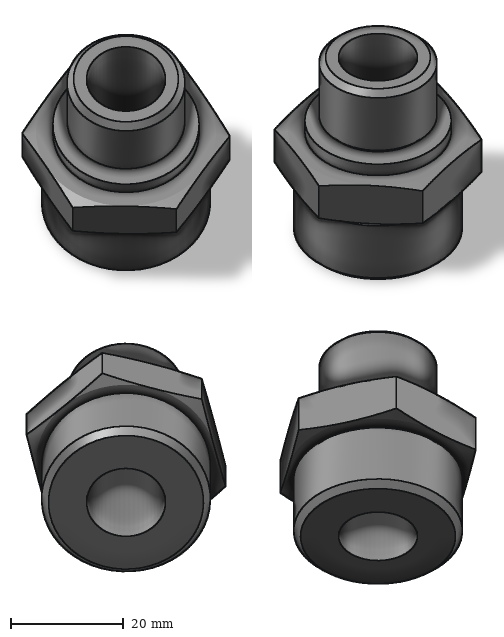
import cadquery as cq
import math

BORE_DIAMETER = 14.0

LOWER_DIAMETER = 30.0
LOWER_LENGTH = 14.0

HEX_ACROSS_FLATS = 32.0
HEX_HEIGHT = 8.48
HEX_CHAMFER_ANGLE = 15.0

COLLAR_DIAMETER = 26.0
COLLAR_HEIGHT = 2.52

UPPER_DIAMETER = 20.95
UPPER_LENGTH = 14.0

LOWER_CHAMFER = 1.227
UPPER_CHAMFER = 1.162

HEX_BASE = LOWER_LENGTH
COLLAR_BASE = HEX_BASE + HEX_HEIGHT
UPPER_BASE = COLLAR_BASE + COLLAR_HEIGHT
TOTAL_HEIGHT = UPPER_BASE + UPPER_LENGTH
HEX_ACROSS_CORNERS = HEX_ACROSS_FLATS / math.cos(math.radians(30))


def cylinder(diameter, height, base):
    """Plain cylinder on the Z axis, starting at the given level."""
    return cq.Workplane("XY").workplane(offset=base).circle(diameter / 2).extrude(height)


def spigot(diameter, length, base, chamfer):
    """Connection cylinder chamfered at both ends."""
    return cylinder(diameter, length, base).edges("%CIRCLE").chamfer(chamfer)


def hex_body():
    """Hexagon with two corners on the Y axis, its corners turned off conically at both faces."""
    prism = (
        cq.Workplane("XY")
        .workplane(offset=HEX_BASE)
        .transformed(rotate=(0, 0, 90))
        .polygon(6, HEX_ACROSS_CORNERS)
        .extrude(HEX_HEIGHT)
    )
    face_radius = HEX_ACROSS_FLATS / 2
    corner_radius = HEX_ACROSS_CORNERS / 2
    corner_drop = (corner_radius - face_radius) * math.tan(math.radians(HEX_CHAMFER_ANGLE))
    turned_envelope = (
        cq.Workplane("XZ")
        .moveTo(0, HEX_BASE)
        .lineTo(face_radius, HEX_BASE)
        .lineTo(corner_radius, HEX_BASE + corner_drop)
        .lineTo(corner_radius, COLLAR_BASE - corner_drop)
        .lineTo(face_radius, COLLAR_BASE)
        .lineTo(0, COLLAR_BASE)
        .close()
        .revolve(360, (0, 0, 0), (0, 1, 0))
    )
    return prism.intersect(turned_envelope)


lower_spigot = spigot(LOWER_DIAMETER, LOWER_LENGTH, 0, LOWER_CHAMFER)
collar = cylinder(COLLAR_DIAMETER, COLLAR_HEIGHT, COLLAR_BASE)
upper_spigot = spigot(UPPER_DIAMETER, UPPER_LENGTH, UPPER_BASE, UPPER_CHAMFER)
bore = cylinder(BORE_DIAMETER, TOTAL_HEIGHT, 0)

result = lower_spigot.union(hex_body()).union(collar).union(upper_spigot).cut(bore)